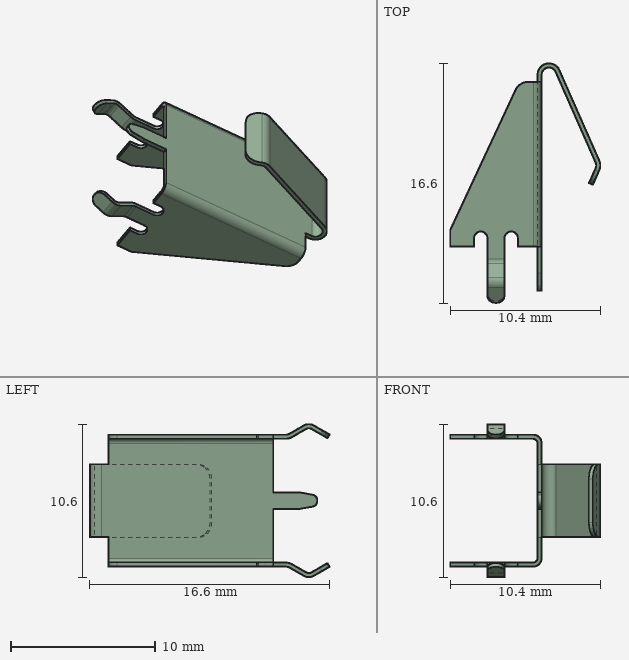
import cadquery as cq
import math

sheet = 0.3
channel_height = 9.15
web_length = 11.43
corner_radius = 2 * sheet

flange_depth = 6.35
flange_edge = 1.16
flange_slope = 25.0
flange_round = 1.0

prong_x = -flange_depth / 2
prong_width = 1.2
slot_width = 0.91
slot_depth = 1.05
prong_straight = 0.85
prong_angle = 30.0
prong_root_radius = 0.6
prong_ramp = 1.11
prong_crest_radius = 0.7
prong_return = 0.66

pin_width = 1.16
pin_tip_radius = 0.43
pin_taper = 10.0
pin_length = 3.05

arm_width = 5.05
arm_top = 12.7
arm_bend_radius = 0.8
arm_angle = 23.8
arm_flat = 6.86
arm_tip_angle = 24.0
arm_tip_length = 1.11
arm_tip_round = 1.01


def trace_strip(start, heading, moves):
    """Return a bent sheet outline and the centreline point and heading at its end.

    Moves are ("flat", length) or ("bend", signed degrees, centreline radius);
    positive bends turn left. Headings are in degrees.
    """
    half = sheet / 2

    def beside(point, angle, side):
        normal = math.radians(angle + 90)
        return (point[0] + side * half * math.cos(normal), point[1] + side * half * math.sin(normal))

    def advance(point, angle, distance):
        direction = math.radians(angle)
        return (point[0] + distance * math.cos(direction), point[1] + distance * math.sin(direction))

    stations = [(start, heading)]
    middles = []
    point = start
    for move in moves:
        if move[0] == "flat":
            point = advance(point, heading, move[1])
            middles.append(None)
        else:
            turn, radius = move[1:]
            half_chord = 2 * radius * math.sin(math.radians(abs(turn) / 4))
            chord = 2 * radius * math.sin(math.radians(abs(turn) / 2))
            middles.append((advance(point, heading + turn / 4, half_chord), heading + turn / 2))
            point = advance(point, heading + turn / 2, chord)
            heading += turn
        stations.append((point, heading))

    def draw_side(outline, ends, bends, side):
        for end, bend in zip(ends, bends):
            if bend is None:
                outline = outline.lineTo(*beside(*end, side))
            else:
                outline = outline.threePointArc(beside(*bend, side), beside(*end, side))
        return outline

    outline = cq.Workplane("XY").moveTo(*beside(*stations[0], 1))
    outline = draw_side(outline, stations[1:], middles, 1)
    outline = outline.lineTo(*beside(*stations[-1], -1))
    outline = draw_side(outline, stations[-2::-1], middles[::-1], -1)
    return outline.close(), point, heading


def make_channel():
    """U-shaped channel with rounded bends, sloped flanges and relief slots."""
    channel = (
        cq.Workplane("XY")
        .box(flange_depth, web_length, channel_height, centered=(False, False, True))
        .translate((-flange_depth, 0, 0))
        .edges("|Y and >X").fillet(corner_radius)
    )
    inside = (
        cq.Workplane("XY")
        .box(flange_depth, web_length, channel_height - 2 * sheet, centered=(False, False, True))
        .translate((-flange_depth - sheet, 0, 0))
        .edges("|Y and >X").fillet(corner_radius - sheet)
    )
    slope_top_x = -flange_depth + (web_length - flange_edge) * math.tan(math.radians(flange_slope))
    profile = (
        cq.Workplane("XY")
        .polyline([(-flange_depth, 0), (0, 0), (0, web_length),
                   (slope_top_x, web_length), (-flange_depth, flange_edge)])
        .close().extrude(channel_height / 2, both=True)
        .edges("|Z").edges(cq.selectors.NearestToPointSelector((slope_top_x, web_length, 0)))
        .fillet(flange_round)
    )
    channel = channel.cut(inside).intersect(profile)
    slot_offset = (prong_width + slot_width) / 2
    slot_length = 2 * slot_depth
    slots = (
        cq.Workplane("XY")
        .pushPoints([(prong_x - slot_offset, 0), (prong_x + slot_offset, 0)])
        .slot2D(slot_length, slot_width, 90).extrude(channel_height, both=True)
    )
    return channel.cut(slots)


def make_flange_prong():
    """Upper kinked prong with a full-round tip."""
    strip, end, heading = trace_strip(
        (0, (channel_height - sheet) / 2), 0,
        [("flat", prong_straight),
         ("bend", prong_angle, prong_root_radius + sheet / 2),
         ("flat", prong_ramp),
         ("bend", -2 * prong_angle, prong_crest_radius - sheet / 2),
         ("flat", prong_return)],
    )
    strip_plane = cq.Plane(origin=(prong_x, 0, 0), xDir=(0, -1, 0), normal=(-1, 0, 0))
    strip = strip.extrude(prong_width / 2, both=True).val().moved(cq.Location(strip_plane))
    slope = math.radians(heading)
    tip_plane = cq.Plane(
        origin=(prong_x, -end[0], end[1]), xDir=(1, 0, 0),
        normal=(0, math.sin(slope), math.cos(slope)),
    )
    tip = cq.Workplane(tip_plane).circle(prong_width / 2).extrude(sheet / 2, both=True)
    return tip.union(cq.Workplane(strip))


def make_pin():
    """Tapered locating pin in the plane of the web."""
    taper = math.radians(pin_taper)
    tip_centre_y = -pin_length + pin_tip_radius
    tangent_y = tip_centre_y - pin_tip_radius * math.sin(taper)
    tangent_z = pin_tip_radius * math.cos(taper)
    taper_start_y = tangent_y + (pin_width / 2 - tangent_z) / math.tan(taper)
    return (
        cq.Workplane("YZ")
        .moveTo(0, -pin_width / 2)
        .lineTo(taper_start_y, -pin_width / 2)
        .lineTo(tangent_y, -tangent_z)
        .threePointArc((-pin_length, 0), (tangent_y, tangent_z))
        .lineTo(taper_start_y, pin_width / 2)
        .lineTo(0, pin_width / 2)
        .close().extrude(-sheet)
    )


def make_spring_arm():
    """Folded-back spring arm whose inturned tip has rounded corners."""
    bend_centreline = arm_bend_radius - sheet / 2
    strip, end, heading = trace_strip(
        (-sheet / 2, web_length), 90,
        [("flat", arm_top - arm_bend_radius - web_length),
         ("bend", arm_angle - 180, bend_centreline),
         ("flat", arm_flat),
         ("bend", -arm_angle - arm_tip_angle, bend_centreline)],
    )
    slope = math.radians(heading)
    tip_plane = cq.Plane(
        origin=(*end, 0), xDir=(math.cos(slope), math.sin(slope), 0),
        normal=(-math.sin(slope), math.cos(slope), 0),
    )
    tip = (
        cq.Workplane(tip_plane)
        .moveTo(0, -arm_width / 2)
        .lineTo(arm_tip_length - arm_tip_round, -arm_width / 2)
        .radiusArc((arm_tip_length, arm_tip_round - arm_width / 2), -arm_tip_round)
        .lineTo(arm_tip_length, arm_width / 2 - arm_tip_round)
        .radiusArc((arm_tip_length - arm_tip_round, arm_width / 2), -arm_tip_round)
        .lineTo(0, arm_width / 2)
        .close().extrude(sheet / 2, both=True)
    )
    return strip.extrude(arm_width / 2, both=True).union(tip)


upper_prong = make_flange_prong()
result = (
    make_channel()
    .union(upper_prong)
    .union(upper_prong.mirror("XY"))
    .union(make_pin())
    .union(make_spring_arm())
)